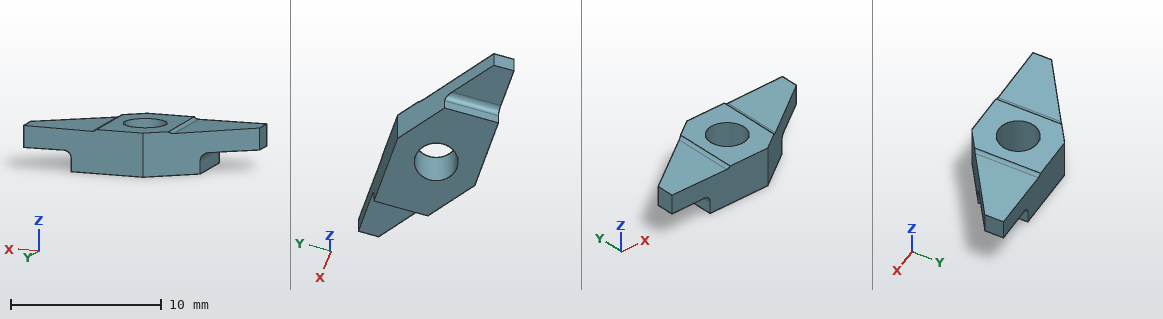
import cadquery as cq
import math

length = 15.0
width = 6.0
height = 3.0

end_face_width = 1.41
flank_angle = 35.0

block_length = 8.3
pad_foot_length = 5.36
pad_foot_radius = 0.4
hole_diameter = 2.9

arm_tip_top = 2.9
arm_tip_bottom = 1.4
arm_flare_angle = 0.5
arm_root_radius = 0.5

half_length = length / 2
half_width = width / 2
half_block = block_length / 2

flare = math.radians(arm_flare_angle)
arm_root_bottom = arm_tip_bottom + (half_length - half_block) * math.tan(flare)


def plan_prism():
    """Six-sided plan outline, extruded to the full height."""
    flank_run = (width - end_face_width) / math.tan(math.radians(flank_angle))
    outline = [
        (-half_length, -half_width),
        (half_length - flank_run, -half_width),
        (half_length, half_width - end_face_width),
        (half_length, half_width),
        (-half_length + flank_run, half_width),
        (-half_length, -half_width + end_face_width),
    ]
    return cq.Workplane("XY").polyline(outline).close().extrude(height)


def across_width(profile):
    """Extrude a closed XZ profile through the full width, centred on Y = 0."""
    return profile.extrude(half_width, both=True)


def top_relief():
    """Step above the +X arm; its wall is an arc tangent to the sloping arm top."""
    foot_x = pad_foot_length / 2
    foot_z = arm_tip_top - (half_length - foot_x) * math.tan(flare)
    centre_x = foot_x - pad_foot_radius * math.sin(flare)
    centre_z = foot_z + pad_foot_radius * math.cos(flare)

    foot_angle = -flare
    pad_angle = math.acos((centre_z - height) / pad_foot_radius)

    def arc_point(angle):
        return (
            centre_x - pad_foot_radius * math.sin(angle),
            centre_z - pad_foot_radius * math.cos(angle),
        )

    return across_width(
        cq.Workplane("XZ")
        .moveTo(*arc_point(pad_angle))
        .threePointArc(arc_point((foot_angle + pad_angle) / 2), (foot_x, foot_z))
        .lineTo(half_length, arm_tip_top)
        .lineTo(half_length, height)
        .close()
    )


def bottom_relief():
    """Space below the +X arm, rounded where the arm meets the block."""
    relief = across_width(
        cq.Workplane("XZ")
        .moveTo(half_block, 0)
        .lineTo(half_block, arm_root_bottom)
        .lineTo(half_length, arm_tip_bottom)
        .lineTo(half_length, 0)
        .close()
    )
    return relief.edges("|Y").edges(">Z").fillet(arm_root_radius)


def central_hole():
    """Round hole through the full height."""
    return cq.Workplane("XY").circle(hole_diameter / 2).extrude(height)


result = plan_prism().cut(central_hole())
for turn in (0, 180):
    for relief in (top_relief(), bottom_relief()):
        result = result.cut(relief.rotate((0, 0, 0), (0, 0, 1), turn))